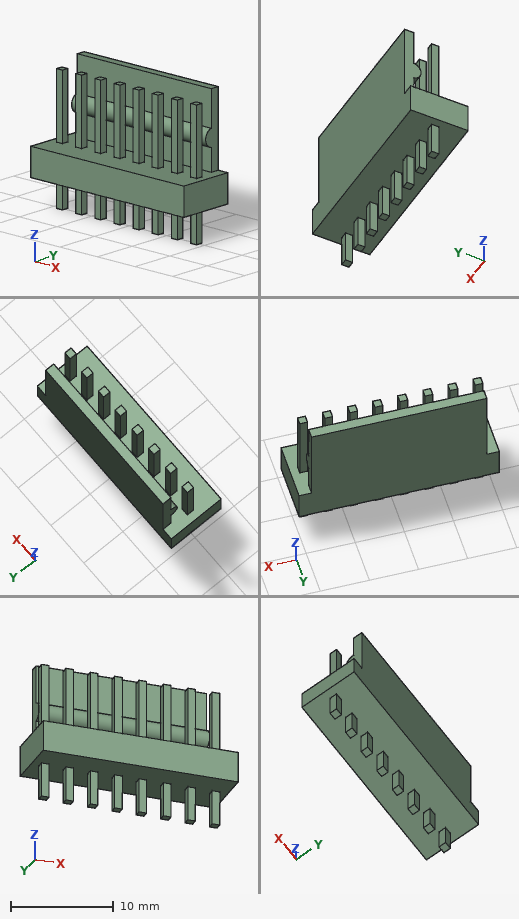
import cadquery as cq

PIN_COUNT = 8
PIN_PITCH = 2.55
BASE_LENGTH = PIN_COUNT * PIN_PITCH
BASE_DEPTH = 6.35
BASE_HEIGHT = 3.2

WALL_LENGTH = (PIN_COUNT - 1) * PIN_PITCH
WALL_THICKNESS = 1.02
TOTAL_HEIGHT = 15.25

RIB_HALF_HEIGHT = 0.98
RIB_PROJECTION = 0.81
RIB_HEIGHT_ABOVE_BASE = 3.5

PIN_WIDTH = 0.8
PIN_BELOW_BASE = 3.55
PIN_TOP_BELOW_WALL_TOP = 1.04
PIN_FROM_BACK = 3.17

BACK_Y = BASE_DEPTH / 2
WALL_FRONT_Y = BACK_Y - WALL_THICKNESS
WALL_TOP_Z = TOTAL_HEIGHT - PIN_BELOW_BASE
RIB_Z = BASE_HEIGHT + RIB_HEIGHT_ABOVE_BASE
PIN_Y = BACK_Y - PIN_FROM_BACK
PIN_LENGTH = TOTAL_HEIGHT - PIN_TOP_BELOW_WALL_TOP
FIRST_PIN_X = -(PIN_COUNT - 1) * PIN_PITCH / 2


def make_pin(x):
    """Square pin centred at x, running from below the base to near the wall top."""
    return (
        cq.Workplane("XY", origin=(x, PIN_Y, -PIN_BELOW_BASE))
        .rect(PIN_WIDTH, PIN_WIDTH)
        .extrude(PIN_LENGTH)
    )


def make_wall():
    """Upright wall whose front face bulges into a rounded rib, as one profile run along X."""
    return (
        cq.Workplane("YZ", origin=(-WALL_LENGTH / 2, 0, 0))
        .moveTo(BACK_Y, BASE_HEIGHT)
        .lineTo(BACK_Y, WALL_TOP_Z)
        .lineTo(WALL_FRONT_Y, WALL_TOP_Z)
        .lineTo(WALL_FRONT_Y, RIB_Z + RIB_HALF_HEIGHT)
        .threePointArc(
            (WALL_FRONT_Y - RIB_PROJECTION, RIB_Z),
            (WALL_FRONT_Y, RIB_Z - RIB_HALF_HEIGHT),
        )
        .lineTo(WALL_FRONT_Y, BASE_HEIGHT)
        .close()
        .extrude(WALL_LENGTH)
    )


def make_housing(pins):
    """Base and wall in one piece, with a through hole matching each pin."""
    housing = (
        cq.Workplane("XY")
        .rect(BASE_LENGTH, BASE_DEPTH)
        .extrude(BASE_HEIGHT)
        .union(make_wall())
    )
    for pin in pins:
        housing = housing.cut(pin)
    return housing


pins = [make_pin(FIRST_PIN_X + i * PIN_PITCH) for i in range(PIN_COUNT)]
housing = make_housing(pins)

result = cq.Compound.makeCompound([housing.solids().val(), *[pin.val() for pin in pins]])